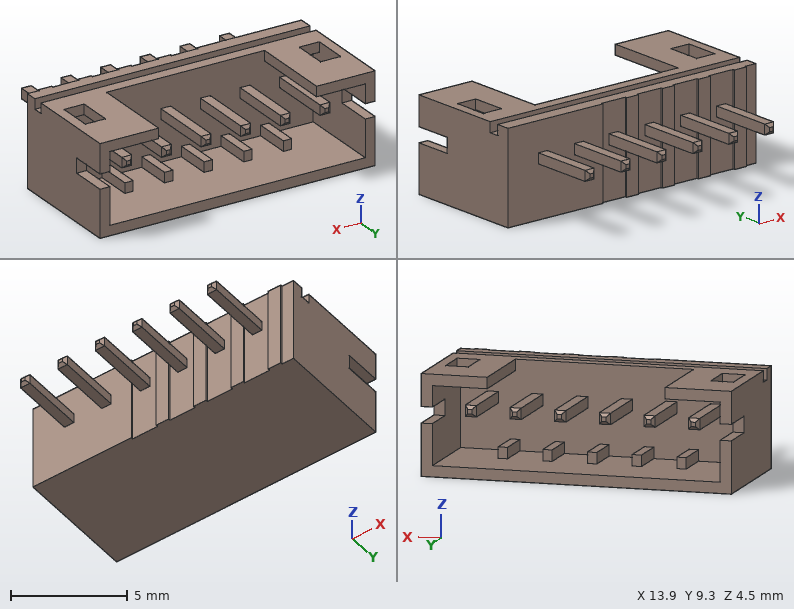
import cadquery as cq

LENGTH = 13.9
DEPTH = 6.0
HEIGHT = 4.5

CAVITY_DEPTH = 4.24
WALL = 0.5

NOTCH_LENGTH = 7.98
SLOT_DEPTH = 1.9
SLOT_BOTTOM = 2.34
SLOT_HEIGHT = 0.72
WINDOW_LENGTH = 1.01
WINDOW_DEPTH = 1.74
WINDOW_INSET = WALL
WINDOW_FROM_MOUTH = 2.0

GROOVE_WIDTH = 0.5
GROOVE_DEPTH = 0.5
GROOVE_FROM_BACK = 0.7

PIN_COUNT = 6
PITCH = 2.0
PIN_SIZE = 0.5
PIN_TIP_LENGTH = 0.15
PIN_TIP_SIZE = PIN_SIZE - 2 * PIN_TIP_LENGTH
PIN_TAIL = 3.3
PIN_FROM_MOUTH = 0.8
PIN_CENTER_Z = 2.8

RIB_WIDTH = 0.42
RIB_LENGTH = 1.85
RIB_HEIGHT = WALL

RECESS_COUNT = 5
PINS_BEFORE_RECESSES = 2
RECESS_WIDTH = 1.33
RECESS_DEPTH = 0.1

CAVITY_FLOOR_Y = DEPTH - CAVITY_DEPTH
FIRST_PIN_X = (LENGTH - (PIN_COUNT - 1) * PITCH) / 2


def box(x0, x1, y0, y1, z0, z1):
    """Axis-aligned block between two opposite corners."""
    return cq.Workplane("XY").box(x1 - x0, y1 - y0, z1 - z0, centered=False).translate((x0, y0, z0))


def pin_x(index):
    """X position of a pin, counted from 0; positions carry on past the last pin."""
    return FIRST_PIN_X + index * PITCH


def cavity():
    return box(
        WALL, LENGTH - WALL,
        CAVITY_FLOOR_Y, DEPTH,
        WALL, HEIGHT - WALL,
    )


def top_notch():
    x0 = (LENGTH - NOTCH_LENGTH) / 2
    return box(x0, LENGTH - x0, CAVITY_FLOOR_Y, DEPTH, HEIGHT - WALL, HEIGHT)


def side_slots():
    """One cut that slots both end walls from the mouth."""
    return box(0, LENGTH, DEPTH - SLOT_DEPTH, DEPTH, SLOT_BOTTOM, SLOT_BOTTOM + SLOT_HEIGHT)


def top_window(x0):
    y1 = DEPTH - WINDOW_FROM_MOUTH
    return box(x0, x0 + WINDOW_LENGTH, y1 - WINDOW_DEPTH, y1, HEIGHT - WALL, HEIGHT)


def top_groove():
    return box(0, LENGTH, GROOVE_FROM_BACK, GROOVE_FROM_BACK + GROOVE_WIDTH, HEIGHT - GROOVE_DEPTH, HEIGHT)


def back_recess(center_x):
    """Full-height recess, cut short where it meets the end of the housing."""
    x0 = center_x - RECESS_WIDTH / 2
    x1 = min(center_x + RECESS_WIDTH / 2, LENGTH)
    return box(x0, x1, 0, RECESS_DEPTH, 0, HEIGHT)


def rib(center_x):
    return box(
        center_x - RIB_WIDTH / 2, center_x + RIB_WIDTH / 2,
        CAVITY_FLOOR_Y, CAVITY_FLOOR_Y + RIB_LENGTH,
        WALL, WALL + RIB_HEIGHT,
    )


def pin(center_x):
    """Square pin through the housing with a blunt pyramid at each end."""
    tail_y = -PIN_TAIL + PIN_TIP_LENGTH
    head_y = DEPTH - PIN_FROM_MOUTH - PIN_TIP_LENGTH
    half = PIN_SIZE / 2
    shank = box(
        center_x - half, center_x + half,
        tail_y, head_y,
        PIN_CENTER_Z - half, PIN_CENTER_Z + half,
    )
    for y, direction in ((tail_y, -1), (head_y, 1)):
        base = cq.Plane(origin=(center_x, y, PIN_CENTER_Z), xDir=(1, 0, 0), normal=(0, direction, 0))
        tip = (
            cq.Workplane(base)
            .rect(PIN_SIZE, PIN_SIZE)
            .workplane(offset=PIN_TIP_LENGTH)
            .rect(PIN_TIP_SIZE, PIN_TIP_SIZE)
            .loft(ruled=True)
        )
        shank = shank.union(tip)
    return shank


housing = box(0, LENGTH, 0, DEPTH, 0, HEIGHT)
for cut in (cavity(), top_notch(), side_slots(), top_groove()):
    housing = housing.cut(cut)
for window_x in (WINDOW_INSET, LENGTH - WINDOW_INSET - WINDOW_LENGTH):
    housing = housing.cut(top_window(window_x))

for i in range(RECESS_COUNT):
    housing = housing.cut(back_recess(pin_x(PINS_BEFORE_RECESSES + i)))

for i in range(PIN_COUNT - 1):
    housing = housing.union(rib(pin_x(i) + PITCH / 2))

for i in range(PIN_COUNT):
    housing = housing.union(pin(pin_x(i)))

result = housing